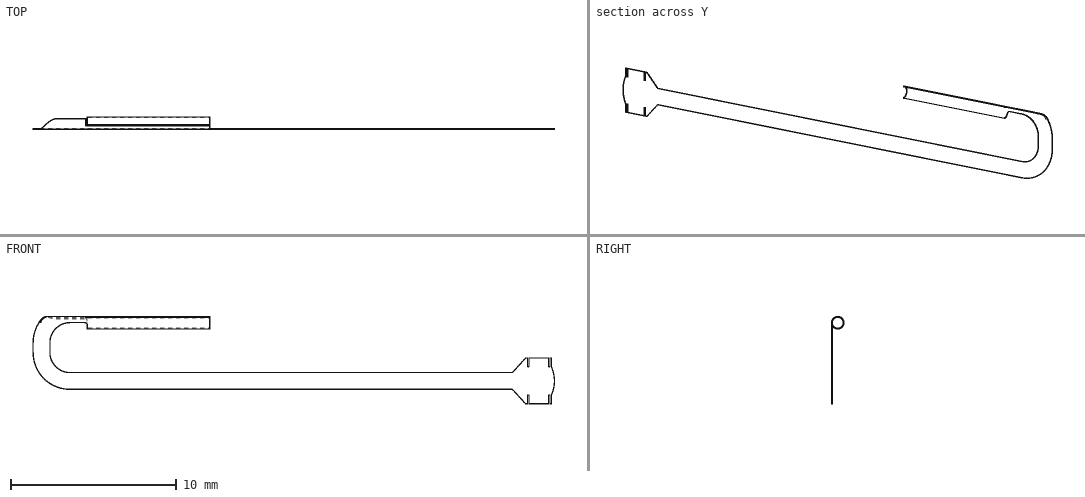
import cadquery as cq
import math

overall_length = 31.55
overall_height = 5.29
tube_diameter = 0.76
sheet_thickness = 0.05

strip_width = 1.03
strip_axis_z = 1.39
bend_inner_radius = 1.2

head_height = 2 * strip_axis_z
head_taper_start_x = 29.0
head_shoulder_x = 29.8
head_end_x = 31.37
nose_half_height = 0.85

slot_width = 0.08
slot_depth = 0.53
slot_centers_x = (29.96, 31.23)

tube_start_x = 3.2
tube_end_x = 10.7
tab_wrap_angle = 140.0
seam_angle = 64.0
seam_gap = 0.08
root_fillet = 0.15

tube_outer_radius = tube_diameter / 2
tube_inner_radius = tube_outer_radius - sheet_thickness
tube_axis_y = tube_outer_radius
tube_axis_z = overall_height - tube_outer_radius
bend_outer_radius = bend_inner_radius + strip_width
bend_center_x = bend_outer_radius
strip_bottom_z = strip_axis_z - strip_width / 2
strip_top_z = strip_axis_z + strip_width / 2
lower_bend_z = strip_top_z + bend_inner_radius
upper_bend_z = tube_axis_z - bend_inner_radius
roll_neutral_radius = (tube_outer_radius + tube_inner_radius) / 2
seam_gap_angle = math.degrees(seam_gap / tube_outer_radius)


def outer_edge_x(rise):
    """X of the strip's outer edge at an unrolled height above the upper bend center."""
    return bend_center_x - math.sqrt(bend_outer_radius**2 - rise**2)


def extrude_sheet(profile):
    """Thicken an XZ outline from the front face at Y = 0 toward +Y."""
    return profile.extrude(-sheet_thickness)


def roll_point(radius, angle):
    """(Y, Z) on the roll; the angle runs from the front face up over the crown."""
    turn = math.radians(angle)
    return (tube_axis_y - radius * math.cos(turn), tube_axis_z + radius * math.sin(turn))


def rolled_sheet(start_x, end_x, start_angle, end_angle):
    """Part of the rolled wall between two X stations and two roll angles."""
    middle_angle = (start_angle + end_angle) / 2
    return (
        cq.Workplane("YZ", origin=(start_x, 0, 0))
        .moveTo(*roll_point(tube_outer_radius, start_angle))
        .threePointArc(
            roll_point(tube_outer_radius, middle_angle),
            roll_point(tube_outer_radius, end_angle),
        )
        .lineTo(*roll_point(tube_inner_radius, end_angle))
        .threePointArc(
            roll_point(tube_inner_radius, middle_angle),
            roll_point(tube_inner_radius, start_angle),
        )
        .close()
        .extrude(end_x - start_x)
    )


def make_flat_strip():
    """Straight strip, U-bend and head, all lying in one flat sheet."""
    diagonal = math.sqrt(0.5)
    top_rise = tube_axis_z - upper_bend_z
    half_rise = top_rise / 2
    outline = (
        cq.Workplane("XZ")
        .moveTo(bend_center_x, strip_bottom_z)
        .lineTo(head_taper_start_x, strip_bottom_z)
        .lineTo(head_shoulder_x, 0)
        .lineTo(head_end_x, 0)
        .lineTo(head_end_x, strip_axis_z - nose_half_height)
        .threePointArc(
            (overall_length, strip_axis_z),
            (head_end_x, strip_axis_z + nose_half_height),
        )
        .lineTo(head_end_x, head_height)
        .lineTo(head_shoulder_x, head_height)
        .lineTo(head_taper_start_x, strip_top_z)
        .lineTo(bend_center_x, strip_top_z)
        .threePointArc(
            (
                bend_center_x - bend_inner_radius * diagonal,
                lower_bend_z - bend_inner_radius * diagonal,
            ),
            (bend_center_x - bend_inner_radius, lower_bend_z),
        )
        .lineTo(bend_center_x - bend_inner_radius, upper_bend_z)
        .threePointArc(
            (
                bend_center_x - bend_inner_radius * diagonal,
                upper_bend_z + bend_inner_radius * diagonal,
            ),
            (bend_center_x, tube_axis_z),
        )
        .lineTo(outer_edge_x(top_rise), tube_axis_z)
        .threePointArc(
            (outer_edge_x(half_rise), upper_bend_z + half_rise),
            (0, upper_bend_z),
        )
        .lineTo(0, lower_bend_z)
        .threePointArc(
            (
                bend_center_x - bend_outer_radius * diagonal,
                lower_bend_z - bend_outer_radius * diagonal,
            ),
            (bend_center_x, strip_bottom_z),
        )
        .close()
    )
    return extrude_sheet(outline)


def make_head_slots():
    """Open slots in both long edges of the head."""
    centers = [
        (x, z)
        for x in slot_centers_x
        for z in (slot_depth / 2, head_height - slot_depth / 2)
    ]
    return extrude_sheet(cq.Workplane("XZ").pushPoints(centers).rect(slot_width, slot_depth))


def make_tab():
    """Curled tab whose free edge carries the bend's outer arc around the roll."""
    edge_spans = 8
    edge = []
    for step in range(edge_spans + 1):
        angle = tab_wrap_angle * step / edge_spans
        rise = bend_inner_radius + roll_neutral_radius * math.radians(angle)
        edge.append((outer_edge_x(rise), roll_point(tube_outer_radius, angle)[0]))
    tab_end_y = edge[-1][1]
    keep = (
        cq.Workplane("XY", origin=(0, 0, tube_axis_z))
        .moveTo(*edge[0])
        .spline(edge[1:], includeCurrent=True)
        .lineTo(tube_start_x, tab_end_y)
        .lineTo(tube_start_x, 0)
        .close()
        .extrude(tube_diameter)
    )
    return rolled_sheet(0, tube_start_x, 0, tab_wrap_angle).intersect(keep)


def make_tube():
    """Tube with a lengthwise seam, joined to the tab only below the seam."""
    root = rolled_sheet(tube_start_x, tube_start_x + seam_gap, 0, seam_angle)
    wall_start_x = tube_start_x + seam_gap
    wall_start_angle = seam_angle + seam_gap_angle - 360
    wall = rolled_sheet(wall_start_x, tube_end_x, wall_start_angle, seam_angle)
    return wall.union(root)


def make_root_fillet():
    """Rounded inner corner between the lower edge of the tab and the tube."""
    wall_start_x = tube_start_x + seam_gap
    lower_z = tube_axis_z - root_fillet
    left_x = wall_start_x - root_fillet
    inset = root_fillet * math.sqrt(0.5)
    gusset = (
        cq.Workplane("XZ")
        .moveTo(left_x, tube_axis_z)
        .threePointArc((left_x + inset, lower_z + inset), (wall_start_x, lower_z))
        .lineTo(wall_start_x, tube_axis_z)
        .close()
        .extrude(-tube_axis_y)
    )
    return rolled_sheet(left_x, wall_start_x, -90, 0).intersect(gusset)


flat_strip = make_flat_strip().cut(make_head_slots())
result = flat_strip.union(make_tab()).union(make_tube()).union(make_root_fillet())